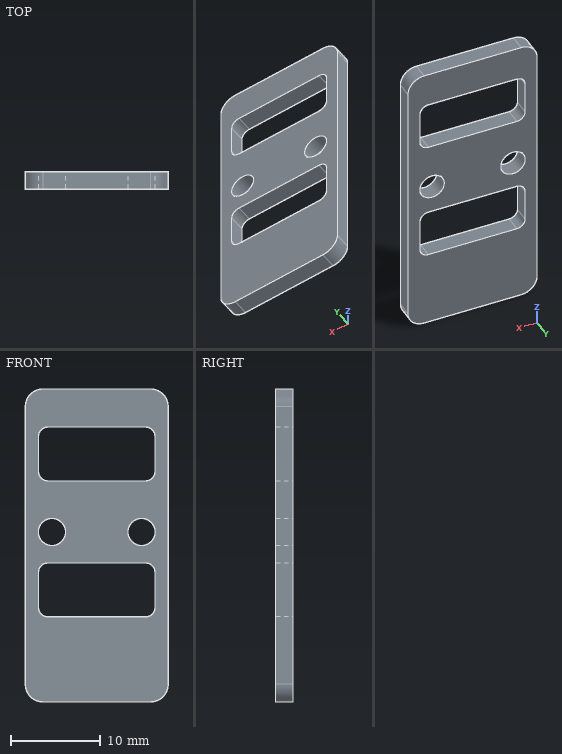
import cadquery as cq

plate_width = 16.0
plate_thickness = 2.0
plate_height = 35.0
plate_corner_radius = 2.0

window_width = 13.0
window_height = 6.0
window_corner_radius = 1.0
window_center_depths = (7.28, 22.47)

hole_diameter = 3.0
hole_spacing = 10.0
hole_center_depth = 16.0


def rounded_slab(width, height, corner_radius, center_z):
    """Slab of plate thickness, centred on X and Y, with rounded corners in XZ."""
    slab = cq.Workplane("XY").box(width, plate_thickness, height)
    return slab.edges("|Y").fillet(corner_radius).translate((0, 0, center_z))


def height_at_depth(depth):
    """Z position at a given depth below the plate's top edge."""
    return plate_height / 2 - depth


result = rounded_slab(plate_width, plate_height, plate_corner_radius, 0)

for depth in window_center_depths:
    window = rounded_slab(window_width, window_height, window_corner_radius, height_at_depth(depth))
    result = result.cut(window)

hole_z = height_at_depth(hole_center_depth)
hole_centers = [(side * hole_spacing / 2, hole_z) for side in (-1, 1)]
holes = (
    cq.Workplane("XZ")
    .pushPoints(hole_centers)
    .circle(hole_diameter / 2)
    .extrude(plate_thickness / 2, both=True)
)
result = result.cut(holes)